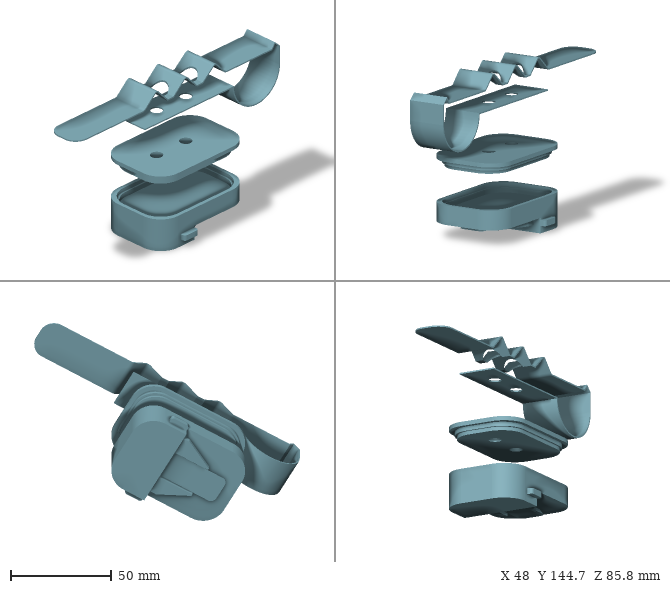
import cadquery as cq
import math


case_width = 42.0
case_length = 63.0
case_height = 18.0
case_corner = 12.0
step_y = -7.5
step_z = 8.0

lid_top = 42.3
flange_thickness = 2.2
upper_plug_height = 2.2
lower_plug_height = 1.9
upper_plug_inset = 2.0
lower_plug_inset = 2.9
socket_floor_gap = 0.9

dovetail_end_y = 24.3
dovetail_height = 2.7
dovetail_bottom_width = 14.5
dovetail_draft = 36
dovetail_corner = 2.7

tab_width = 9.8
tab_reach = 3.0
tab_corner = 1.5
latch_bottom = 3.9
latch_thickness = 3.0
arm_outer_x = 16.8
arm_inner_x = 7.8
arm_tip_width = 0.9
arm_tip_y = 12.6
arm_bend_y = -3.2

strip_width = 19.7
strip_thickness = 0.7
strip_front_y = -80.5
strip_back_y = 64.2
strip_tip_corner = 7.5
upper_leaf_z = 78.0
lower_leaf_z = 67.0
loop_end_y = 30.8
lip_peak_y = 60.8
lip_front_y = 58.5
lip_rise = 2.9
wave_pitch = 20.7
wave_rise = 8.1
back_peak_rise = 7.7
last_ramp_length = 7.1
valley_width = 4.2
back_ramp_length = 7.7
front_ramp_length = wave_pitch - valley_width - back_ramp_length
front_peak_y = -23.0
bend_radius = 2.3
peak_radius = 2.0
wave_count = 3

first_valley_y = front_peak_y + back_ramp_length + valley_width / 2
screw_ys = [first_valley_y + i * wave_pitch for i in range(wave_count - 1)]
screw_radius = 3.3
access_radius = 6.0


def rounded_block(inset, bottom, height):
    """Upright rounded rectangle, the housing outline moved in by `inset`."""
    block = cq.Workplane("XY", origin=(0, 0, bottom)).rect(case_width - 2 * inset, case_length - 2 * inset)
    return block.extrude(height).edges("|Z").fillet(case_corner)


def stepped_plug(top, lower_height):
    """Two stepped layers with their top at `top`; shapes both the lid plug and its socket."""
    middle = top - upper_plug_height
    upper = rounded_block(upper_plug_inset, middle, upper_plug_height)
    lower = rounded_block(lower_plug_inset, middle - lower_height, lower_height)
    return upper.union(lower)


def screw_holes(radius, bottom, top):
    """Vertical cylinders at the screw positions."""
    places = [(0, y) for y in screw_ys]
    return cq.Workplane("XY", origin=(0, 0, bottom)).pushPoints(places).circle(radius).extrude(top - bottom)


def make_lid():
    flange_bottom = lid_top - flange_thickness
    flange = rounded_block(0, flange_bottom, flange_thickness)
    lid = flange.union(stepped_plug(flange_bottom, lower_plug_height))
    return lid.cut(screw_holes(screw_radius, 0, lid_top))


def make_dovetail():
    half_bottom = dovetail_bottom_width / 2
    half_top = half_bottom - dovetail_height * math.tan(math.radians(dovetail_draft))
    bottom = step_z - dovetail_height
    block = (
        cq.Workplane("XZ", origin=(0, dovetail_end_y, 0))
        .polyline([(-half_bottom, bottom), (half_bottom, bottom), (half_top, step_z), (-half_top, step_z)])
        .close()
        .extrude(dovetail_end_y - step_y)
    )
    return block.faces(">Y").edges("not |X").fillet(dovetail_corner)


def make_latch(side):
    """One latch; `side` is -1 for the -X side and 1 for the +X side."""
    tab_outer_x = case_width / 2 + tab_reach
    tab_front_y = step_y - tab_width
    outline = [
        (arm_inner_x, tab_front_y),
        (tab_outer_x, tab_front_y),
        (tab_outer_x, step_y),
        (arm_outer_x, step_y),
        (arm_outer_x, arm_bend_y),
        (arm_inner_x + arm_tip_width, arm_tip_y),
        (arm_inner_x, arm_tip_y),
    ]
    latch = (
        cq.Workplane("XY", origin=(0, 0, latch_bottom))
        .polyline([(side * x, y) for x, y in outline])
        .close()
        .extrude(latch_thickness)
    )
    outer_face = latch.faces(">X" if side > 0 else "<X")
    return outer_face.edges("|Z").fillet(tab_corner)


def make_housing(latches):
    housing = rounded_block(0, 0, case_height)
    step_length = case_length / 2 - step_y
    relief = cq.Workplane("XY").box(case_width, step_length, step_z, centered=(True, False, False))
    housing = housing.cut(relief.translate((0, step_y, 0)))
    socket = stepped_plug(case_height, lower_plug_height + socket_floor_gap)
    housing = housing.cut(socket).union(make_dovetail())
    for latch in latches:
        housing = housing.cut(latch)
    return housing


def offset_path(path, distance):
    """Open path moved sideways by `distance` to its left, with mitred corners."""
    headings = [math.atan2(b[1] - a[1], b[0] - a[0]) for a, b in zip(path, path[1:])]
    befores = [headings[0]] + headings
    afters = headings + [headings[-1]]
    moved = []
    for (y, z), before, after in zip(path, befores, afters):
        normal = (before + after) / 2 + math.pi / 2
        reach = distance / math.cos((after - before) / 2)
        moved.append((y + reach * math.cos(normal), z + reach * math.sin(normal)))
    return moved


def upper_leaf_path():
    """Middle line (y, z) of the strip from its front tip to the top of the back loop."""
    base = upper_leaf_z
    path = [(strip_front_y, base), (front_peak_y - front_ramp_length, base)]
    for i in range(wave_count - 1):
        peak_y = front_peak_y + i * wave_pitch
        valley_y = peak_y + back_ramp_length
        path += [(peak_y, base + wave_rise), (valley_y, base), (valley_y + valley_width, base)]
    back_peak_y = front_peak_y + (wave_count - 1) * wave_pitch
    back_y = strip_back_y - strip_thickness / 2
    path += [
        (back_peak_y, base + back_peak_rise),
        (back_peak_y + last_ramp_length, base),
        (lip_front_y, base),
        (lip_peak_y, base + lip_rise),
        (back_y, base),
        (back_y, lower_leaf_z + strip_thickness),
    ]
    return path


def round_bend(strip, corner, radius):
    """Fillet the cross-strip edge at `corner` (y, z)."""
    return strip.edges(cq.selectors.NearestToPointSelector((0, *corner))).fillet(radius)


def make_clip():
    path = upper_leaf_path()
    above = offset_path(path, strip_thickness / 2)
    below = offset_path(path, -strip_thickness / 2)
    leaf_front_y = -case_length / 2
    leaf_top = lower_leaf_z + strip_thickness
    loop_radius = (strip_back_y - loop_end_y) / 2
    loop_y = loop_end_y + loop_radius
    loop_bottom = leaf_top - loop_radius
    outer_end_y = loop_y - math.sqrt(loop_radius**2 - strip_thickness**2)
    strip = (
        cq.Workplane("YZ", origin=(-strip_width / 2, 0, 0))
        .polyline(above)
        .threePointArc((loop_y, loop_bottom), (outer_end_y, lower_leaf_z))
        .lineTo(leaf_front_y, lower_leaf_z)
        .lineTo(leaf_front_y, leaf_top)
        .lineTo(loop_end_y + strip_thickness, leaf_top)
        .threePointArc((loop_y, loop_bottom + strip_thickness), below[-1])
        .polyline(below[-2::-1], includeCurrent=True)
        .close()
        .extrude(strip_width)
    )

    front_bend = 1
    first_peak = front_bend + 1
    points_per_wave = 3
    back_bend = front_bend + points_per_wave * wave_count - 1
    for bend in (front_bend, back_bend):
        strip = round_bend(strip, above[bend], bend_radius)
        strip = round_bend(strip, below[bend], bend_radius + strip_thickness)
    for peak in range(first_peak, back_bend, points_per_wave):
        strip = round_bend(strip, above[peak], peak_radius)
        strip = round_bend(strip, below[peak], peak_radius - strip_thickness)

    strip = strip.faces("<Y").edges("|Z").fillet(strip_tip_corner)
    strip = strip.cut(screw_holes(screw_radius, lower_leaf_z, leaf_top))
    return strip.cut(screw_holes(access_radius, leaf_top, upper_leaf_z + wave_rise))


clip = make_clip()
lid = make_lid()
latches = [make_latch(side) for side in (-1, 1)]
housing = make_housing(latches)

result = cq.Compound.makeCompound([clip.val(), lid.val(), housing.val(), *[latch.val() for latch in latches]])